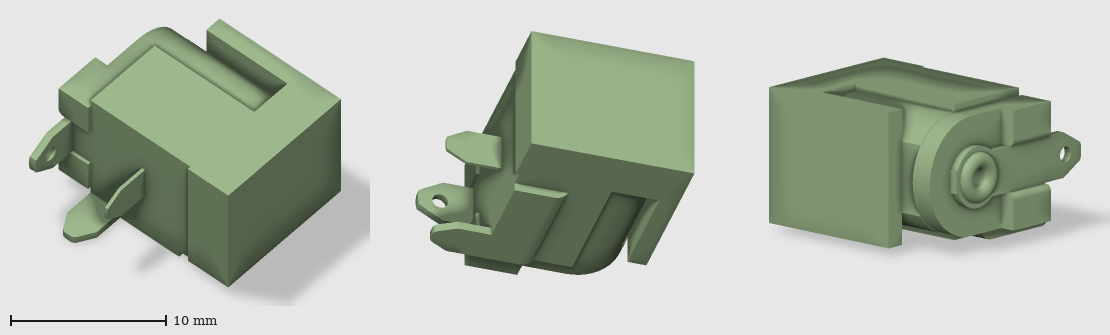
import cadquery as cq
import math


length = 14.54
half_height = 4.5
back_y = 4.51
front_y = -6.22
collar_front_y = -6.47
flange_x = 1.05
body_x = 2.53
side_wall_x = 4.13
collar_x = 11.08
side_wall_y = 3.23
barrel_radius = 4.0
flange_radius = 3.97

guide_end_y = -2.91
guide_slot_half_width = 1.55
guide_rounding = 0.42

sheet = 0.55
tip_y = -9.92
taper_slope = math.tan(math.radians(30))

terminal_x = flange_x - sheet
terminal_half_width = 1.51
terminal_tip_half_width = 0.58
terminal_shoulder_y = -8.23
terminal_eye_radius = 2.04
terminal_key_half_width = 0.77
terminal_hole_radius = 0.52
terminal_hole_y = -8.42

rivet_outer_radius = 1.67
rivet_bore_radius = 0.63
rivet_bore_depth = body_x

switch_x = 6.95
switch_thickness = 0.25
switch_half_width = 1.25
switch_tip_half_width = 0.5
switch_shoulder_y = -8.55

foot_end_x = 10.1
foot_bottom = -5.06
foot_rounding = 1.0
foot_arc_y = -3.55
flat_width = 2.53
flat_shoulder_y = -8.49
flat_tip_y = -9.87
flat_tip_rounding = 0.5


def block(x0, x1, y0, y1, z0, z1):
    """Axis-aligned box between opposite corners."""
    return cq.Workplane("XY").box(x1 - x0, y1 - y0, z1 - z0, centered=False).translate((x0, y0, z0))


def disc(x0, x1, radius, y=0):
    """Cylinder along X."""
    return cq.Workplane("YZ", origin=(x0, y, 0)).circle(radius).extrude(x1 - x0)


def blade(x0, thickness, root_y, shoulder_y, half_width, tip_half_width):
    """Contact in a YZ plane with a tapered, gently rounded tip."""
    taper_end_y = shoulder_y - (half_width - tip_half_width) / taper_slope
    return (
        cq.Workplane("YZ", origin=(x0, 0, 0))
        .moveTo(root_y, half_width)
        .lineTo(shoulder_y, half_width)
        .lineTo(taper_end_y, tip_half_width)
        .threePointArc((tip_y, 0), (taper_end_y, -tip_half_width))
        .lineTo(shoulder_y, -half_width)
        .lineTo(root_y, -half_width)
        .close()
        .extrude(thickness)
    )


def housing():
    """Body with the half-exposed barrel, back side wall and plug-end collar."""
    body = block(body_x, collar_x, front_y, 0, -half_height, half_height)
    side_wall = block(side_wall_x, collar_x, side_wall_y, back_y, -half_height, half_height)
    collar = block(collar_x, length, collar_front_y, back_y, -half_height, half_height)
    barrel_limits = block(body_x, collar_x, front_y, side_wall_y, -half_height, half_height)
    barrel = disc(body_x, collar_x, barrel_radius).intersect(barrel_limits)
    return body.union(collar).union(side_wall).union(barrel)


def flange():
    """Round-backed end plate carrying the terminal."""
    plate = block(flange_x, body_x, front_y, 0, -flange_radius, flange_radius)
    return plate.union(disc(flange_x, body_x, flange_radius))


def guides():
    """Matching guide blocks above and below the terminal."""
    upper = block(0, body_x, collar_front_y, guide_end_y, guide_slot_half_width, flange_radius)
    upper = upper.edges("<X and <Z").fillet(guide_rounding)
    return upper.union(upper.mirror("XY"))


def terminal():
    """Solder blade with a round eye, a square key behind it and a wire hole."""
    tail = blade(terminal_x, sheet, 0, terminal_shoulder_y, terminal_half_width, terminal_tip_half_width)
    key_half = terminal_key_half_width
    key = block(terminal_x, flange_x, 0, terminal_eye_radius, -key_half, key_half)
    eye = disc(terminal_x, flange_x, terminal_eye_radius)
    hole = disc(terminal_x, flange_x, terminal_hole_radius, terminal_hole_y)
    return tail.union(key).union(eye).cut(hole)


def rivet_head():
    """Half-round ring standing on the terminal."""
    crown_radius = (rivet_outer_radius + rivet_bore_radius) / 2
    return (
        cq.Workplane("XY")
        .moveTo(terminal_x, rivet_bore_radius)
        .threePointArc((0, crown_radius), (terminal_x, rivet_outer_radius))
        .close()
        .revolve(360, (0, 0, 0), (1, 0, 0))
    )


def foot():
    """Slab under the body with a rounded back edge."""
    top = -half_height
    arc_z = foot_bottom + foot_rounding
    sweep = math.acos((arc_z - top) / foot_rounding)
    arc_start_y = foot_arc_y + foot_rounding * math.sin(sweep)
    arc_mid_y = foot_arc_y + foot_rounding * math.sin(sweep / 2)
    arc_mid_z = arc_z - foot_rounding * math.cos(sweep / 2)
    return (
        cq.Workplane("YZ", origin=(body_x, 0, 0))
        .moveTo(front_y, top)
        .lineTo(arc_start_y, top)
        .threePointArc((arc_mid_y, arc_mid_z), (foot_arc_y, foot_bottom))
        .lineTo(front_y, foot_bottom)
        .close()
        .extrude(foot_end_x - body_x)
    )


def flat_contact():
    """Horizontal contact continuing the foot, with a blunt tapered tip."""
    taper_inset = (flat_shoulder_y - flat_tip_y) * taper_slope
    return (
        cq.Workplane("XY", origin=(body_x, 0, foot_bottom))
        .moveTo(0, front_y)
        .lineTo(0, flat_shoulder_y)
        .lineTo(taper_inset, flat_tip_y)
        .lineTo(flat_width - taper_inset, flat_tip_y)
        .lineTo(flat_width, flat_shoulder_y)
        .lineTo(flat_width, front_y)
        .close()
        .extrude(sheet)
        .edges("|Z and <Y")
        .fillet(flat_tip_rounding)
    )


switch_contact = blade(
    switch_x, switch_thickness, front_y, switch_shoulder_y, switch_half_width, switch_tip_half_width
)
result = housing().union(flange()).union(guides())
result = result.union(foot()).union(flat_contact()).union(switch_contact)
result = result.union(terminal()).union(rivet_head())
result = result.cut(disc(0, rivet_bore_depth, rivet_bore_radius))